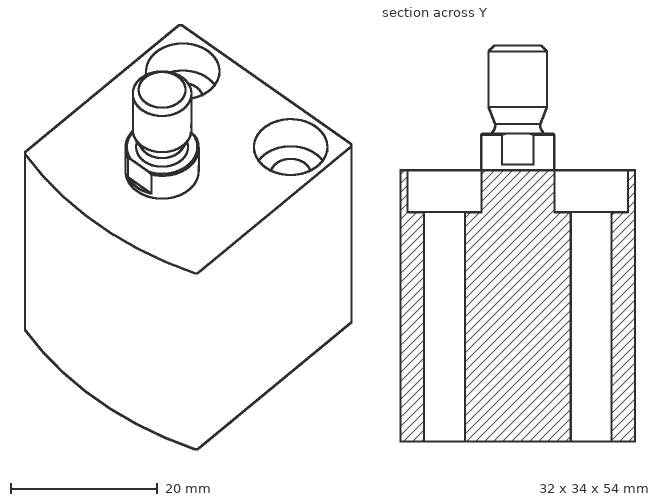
import cadquery as cq
import math

block_width = 32.0
block_depth = 34.0
block_height = 37.0
axis_to_back = 21.0
front_radius = 50.0
corner_radius = 0.4

hole_spacing = 20.0
hole_to_back = 6.0
hole_diameter = 5.5
counterbore_diameter = 10.0
counterbore_depth = 5.7

collar_diameter = 10.0
collar_height = 5.0
collar_chamfer = 0.2
flat_distance = 9.0
flat_start = 0.8

rod_height = 17.0
stud_diameter = 8.0
stud_start = 8.6
stud_chamfer = 0.8
neck_diameter = 6.2
neck_start = 5.95
neck_end = 6.3
neck_fillet_radius = 0.7
foot_cone_angle = math.radians(30)

back_y = axis_to_back
front_y = back_y - block_depth
half_width = block_width / 2
front_sagitta = front_radius - math.sqrt(front_radius**2 - half_width**2)
front_corner_y = front_y + front_sagitta


def make_housing():
    """Block with a bowed front wall, rounded upright edges and two counterbored holes."""
    block = (
        cq.Workplane("XY")
        .moveTo(-half_width, back_y)
        .lineTo(-half_width, front_corner_y)
        .threePointArc((0, front_y), (half_width, front_corner_y))
        .lineTo(half_width, back_y)
        .close()
        .extrude(block_height)
        .edges("|Z")
        .fillet(corner_radius)
    )
    hole_y = back_y - hole_to_back
    hole_centers = [(side * hole_spacing / 2, hole_y) for side in (-1, 1)]
    return (
        block.faces(">Z")
        .workplane(origin=(0, 0, block_height))
        .pushPoints(hole_centers)
        .cboreHole(hole_diameter, counterbore_diameter, counterbore_depth)
    )


def make_rod():
    """Turned rod standing on the housing, with wrench flats at the front and back of its collar."""
    collar_radius = collar_diameter / 2
    neck_radius = neck_diameter / 2
    stud_radius = stud_diameter / 2

    def fillet_point(angle):
        return (
            neck_radius + neck_fillet_radius * (1 - math.cos(angle)),
            neck_start - neck_fillet_radius * math.sin(angle),
        )

    cone_top_radius, cone_top = fillet_point(foot_cone_angle)
    foot_radius = cone_top_radius + (cone_top - collar_height) * math.tan(foot_cone_angle)

    rod = (
        cq.Workplane("XZ", origin=(0, 0, block_height))
        .lineTo(collar_radius, 0)
        .lineTo(collar_radius, collar_height - collar_chamfer)
        .lineTo(collar_radius - collar_chamfer, collar_height)
        .lineTo(foot_radius, collar_height)
        .lineTo(cone_top_radius, cone_top)
        .threePointArc(fillet_point(foot_cone_angle / 2), (neck_radius, neck_start))
        .lineTo(neck_radius, neck_end)
        .lineTo(stud_radius, stud_start)
        .lineTo(stud_radius, rod_height - stud_chamfer)
        .lineTo(stud_radius - stud_chamfer, rod_height)
        .lineTo(0, rod_height)
        .close()
        .revolve(360, (0, 0, 0), (0, 1, 0))
    )
    flat_cutter = (
        cq.Workplane("XY", origin=(0, 0, block_height + flat_start))
        .rect(2 * collar_diameter, 2 * collar_diameter)
        .rect(2 * collar_diameter, flat_distance)
        .extrude(collar_height - flat_start)
    )
    return rod.cut(flat_cutter)


housing = make_housing()
rod = make_rod()

result = cq.Compound.makeCompound([housing.val(), rod.val()])